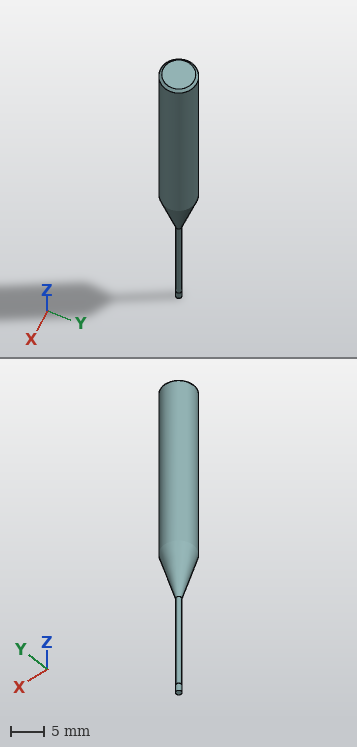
import cadquery as cq

TOTAL_LENGTH = 64.0
SHANK_DIAMETER = 6.0
CHAMFER = 0.45
TAPER_TOP_Z = 29.4
TAPER_BOTTOM_Z = 20.0
NECK_DIAMETER = 0.95
TIP_DIAMETER = 1.0
TIP_LENGTH = 1.55

SHANK_RADIUS = SHANK_DIAMETER / 2
NECK_RADIUS = NECK_DIAMETER / 2
TIP_RADIUS = TIP_DIAMETER / 2


def make_shank():
    """Cylindrical shank with a chamfered top and a taper down to the neck."""
    half_outline = [
        (0, TAPER_BOTTOM_Z),
        (NECK_RADIUS, TAPER_BOTTOM_Z),
        (SHANK_RADIUS, TAPER_TOP_Z),
        (SHANK_RADIUS, TOTAL_LENGTH - CHAMFER),
        (SHANK_RADIUS - CHAMFER, TOTAL_LENGTH),
        (0, TOTAL_LENGTH),
    ]
    return cq.Workplane("XZ").polyline(half_outline).close().revolve(360, (0, 0), (0, 1))


def make_rod(radius, bottom_z, top_z):
    """Plain round rod on the tool axis between two heights."""
    return cq.Workplane("XY").workplane(offset=bottom_z).circle(radius).extrude(top_z - bottom_z)


shank = make_shank()
neck = make_rod(NECK_RADIUS, TIP_LENGTH, TAPER_BOTTOM_Z)
cutting_tip = make_rod(TIP_RADIUS, 0, TIP_LENGTH)

result = cq.Compound.makeCompound([shank.val(), neck.val(), cutting_tip.val()])